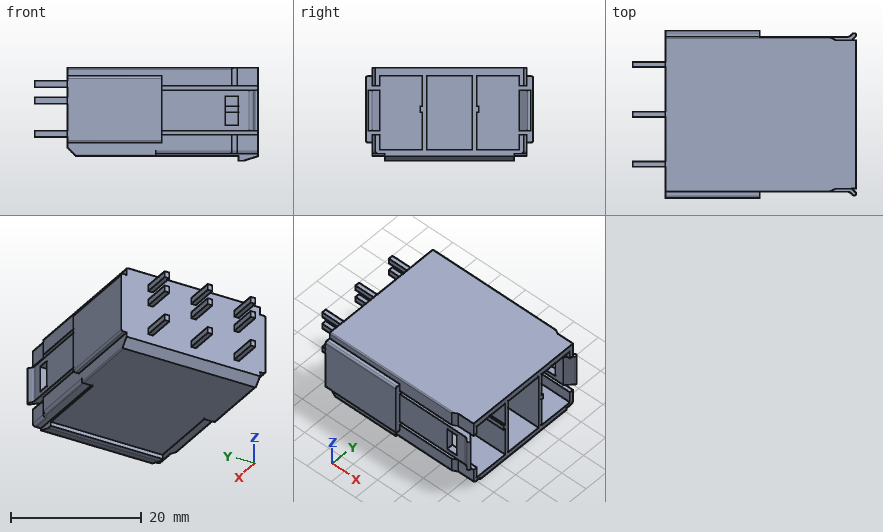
import cadquery as cq
import math

body_length = 29.25
body_width = 23.75
body_height = 13.55
half_width = body_width / 2
edge_radius = 0.2
end_chamfer = 1.35

tongue_start = 13.55
tongue_step = 0.35
tongue_width = 19.83
lower_radius = 0.48
latch_start = 26.2
latch_flat = 0.8
latch_drop = 0.72

taper_start = 25.17
taper_end = 26.05
taper_depth = 0.48

pad_length = 14.5
pad_depth = 0.95
pad_bottom = 2.1
pad_top = 12.3
pad_radius = 0.35

wall = 1.2
floor_top = 1.03
partition = 0.7
rib_bottom = 6.75
rib_top = 7.67
rib_depth = 0.35

pin_length = 5.0
pin_width = 0.82
pin_height = 1.03
pin_pitch = 7.65
pin_levels = (3.42, 8.53, 11.05)

clip_bottom = 3.95
clip_top = 10.1
slit = 0.7
window_start = 24.2
window_end = 26.2
window_bottom = 4.75
window_top = 9.18
hook_start = 27.8
hook_bend_radius = 1.0
hook_thickness = 0.6
hook_run = 0.29


def box(x_min, x_max, y_min, y_max, z_min, z_max):
    size = (x_max - x_min, y_max - y_min, z_max - z_min)
    return cq.Workplane("XY").box(*size, centered=False).translate((x_min, y_min, z_min))


def both_sides(shape):
    """Join a shape on the -Y side with its mirror image on the +Y side."""
    return shape.union(shape.mirror("XZ"))


def rear_block():
    block = box(0, tongue_start, -half_width, half_width, 0, body_height)
    block = block.edges("<X and <Z").chamfer(end_chamfer)
    return block.edges("|X").fillet(edge_radius)


def front_block():
    block = box(tongue_start, body_length, -half_width, half_width, tongue_step, body_height)
    block = block.edges("|X and >Z").fillet(edge_radius)
    recess = (
        cq.Workplane("XY")
        .moveTo(taper_start, -half_width)
        .lineTo(taper_end, -half_width + taper_depth)
        .lineTo(body_length, -half_width + taper_depth)
        .lineTo(body_length, -half_width)
        .close()
        .extrude(body_height)
    )
    block = block.cut(both_sides(recess))
    return block.faces("<Z").edges("not(#X)").fillet(lower_radius)


def latch_tongue():
    profile = (
        cq.Workplane("XZ")
        .moveTo(tongue_start, tongue_step)
        .lineTo(tongue_start, 0)
        .lineTo(latch_start, 0)
        .lineTo(latch_start, -latch_drop)
        .lineTo(latch_start + latch_flat, -latch_drop)
        .lineTo(body_length, 0)
        .lineTo(body_length, tongue_step)
        .close()
    )
    return profile.extrude(tongue_width / 2, both=True)


def side_pad():
    pad = box(0, pad_length, -half_width - pad_depth, 0, pad_bottom, pad_top)
    return pad.edges("|X and <Y").fillet(pad_radius)


def cells():
    """Three chambers, open at +X and separated by two partitions."""
    inner = half_width - wall
    space = box(pad_length, body_length, -inner, inner, floor_top, body_height - wall)
    partition_face = (pin_pitch + partition) / 2
    divider = box(pad_length, body_length, -partition_face, partition - partition_face,
                  floor_top, body_height - wall)
    rib = box(pad_length, body_length, -partition_face - rib_depth, -partition_face,
              rib_bottom, rib_top)
    return space.cut(both_sides(divider.union(rib)))


def clip_opening():
    return box(pad_length, body_length, -half_width, wall - half_width,
               clip_bottom - slit, clip_top + slit)


def spring_clip():
    """Wall strip with a window and a 45 degree hook with a rounded tip."""
    half_root = math.sqrt(0.5)
    half_bend = math.pi / 8
    outer = -half_width
    inner = outer + wall
    tip_radius = hook_thickness / 2

    bend_x = hook_start + hook_bend_radius * half_root
    bend_y = outer - hook_bend_radius * (1 - half_root)
    bend_mid = (
        hook_start + hook_bend_radius * math.sin(half_bend),
        outer - hook_bend_radius * (1 - math.cos(half_bend)),
    )
    tip_x = bend_x + hook_run * half_root
    tip_y = bend_y - hook_run * half_root
    nose_x = tip_x + hook_thickness * half_root
    nose_y = tip_y + hook_thickness * half_root
    nose_mid = (
        (tip_x + nose_x) / 2 + tip_radius * half_root,
        (tip_y + nose_y) / 2 - tip_radius * half_root,
    )

    strip = (
        cq.Workplane("XY")
        .workplane(offset=clip_bottom)
        .moveTo(pad_length, outer)
        .lineTo(hook_start, outer)
        .threePointArc(bend_mid, (bend_x, bend_y))
        .lineTo(tip_x, tip_y)
        .threePointArc(nose_mid, (nose_x, nose_y))
        .lineTo(nose_x - (inner - nose_y), inner)
        .lineTo(pad_length, inner)
        .close()
        .extrude(clip_top - clip_bottom)
    )
    window = box(window_start, window_end, outer, inner, window_bottom, window_top)
    return strip.cut(window)


def pins():
    positions = [
        (column * pin_pitch, level)
        for column in (-1, 0, 1)
        for level in pin_levels
    ]
    return (
        cq.Workplane("YZ")
        .pushPoints(positions)
        .rect(pin_width, pin_height)
        .extrude(-pin_length)
    )


housing = rear_block().union(front_block()).union(latch_tongue()).union(both_sides(side_pad()))
housing = housing.cut(cells()).cut(both_sides(clip_opening()))
result = housing.union(both_sides(spring_clip())).union(pins())